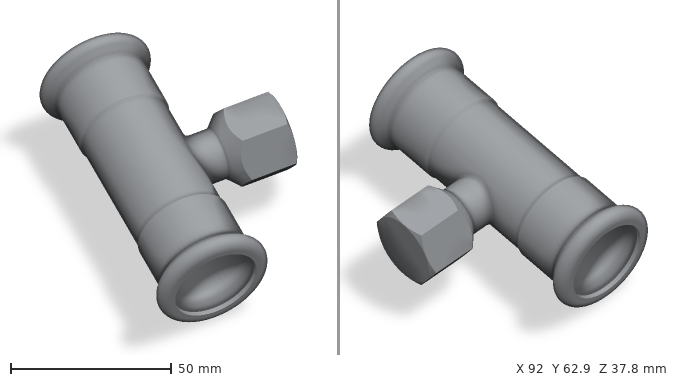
import cadquery as cq
import math

length = 92.0
end_x = -length / 2
socket_radius = 31.0 / 2
middle_radius = 29.8 / 2
bore_radius = 12.3
wall = 1.52
mouth_radius = socket_radius - wall

bead_outer_radius = 18.9
bead_round = 3.0
bead_x = end_x + bead_round
bead_centre_radius = bead_outer_radius - bead_round

neck_fillet = 1.8
neck_centre_radius = socket_radius + neck_fillet
neck_x = bead_x + bead_centre_radius - neck_centre_radius + math.sqrt(2) * (bead_round + neck_fillet)

step_start_x = end_x + 24.4
step_angle = 30.0
step_length = (socket_radius - middle_radius) / math.tan(math.radians(step_angle))
step_end_x = step_start_x + step_length
step_convex_fillet = 0.7
step_concave_fillet = 1.3

branch_radius = 16.8 / 2
branch_fillet = 1.4
nut_end_y = 44.0
nut_start_y = 22.0
nut_across_flats = 24.1
nut_corner_radius = nut_across_flats / math.sqrt(3)
nut_face_radius = 11.9
nut_chamfer_angle = 30.0


def arc_point(x, radius, arc_radius, degrees):
    """Point (x, radius) on an arc; the angle runs from +X towards larger radius."""
    angle = math.radians(degrees)
    return (x + arc_radius * math.cos(angle), radius + arc_radius * math.sin(angle))


def bead_point(arc_radius, degrees):
    return arc_point(bead_x, bead_centre_radius, arc_radius, degrees)


def neck_point(arc_radius, degrees):
    return arc_point(neck_x, neck_centre_radius, arc_radius, degrees)


def revolve_about_x(profile):
    return profile.close().revolve(360, (0, 0, 0), (1, 0, 0))


def half_pipe_body():
    """Solid outer shape of the -X half, with its step rounded at both corners."""
    profile = (
        cq.Workplane("XY")
        .moveTo(end_x, 0)
        .lineTo(end_x, bead_centre_radius)
        .threePointArc(bead_point(bead_round, 110), bead_point(bead_round, 45))
        .lineTo(*neck_point(neck_fillet, 225))
        .threePointArc(neck_point(neck_fillet, 250), neck_point(neck_fillet, 270))
        .lineTo(step_start_x, socket_radius)
        .lineTo(step_end_x, middle_radius)
        .lineTo(0, middle_radius)
        .lineTo(0, 0)
    )
    body = revolve_about_x(profile)
    body = body.edges(circle_at(step_start_x)).fillet(step_convex_fillet)
    return body.edges(circle_at(step_end_x)).fillet(step_concave_fillet)


def circle_at(x):
    """Selector for the pipe's circular edges centred at one place on the axis."""
    reach = 0.1
    return cq.selectors.BoxSelector((x - reach, -reach, -reach), (x + reach, reach, reach))


def half_pipe_cavity():
    """Inside of the -X half: the bead and socket keep an even wall, then the bore narrows."""
    inner_bead = bead_round - wall
    inner_neck = neck_fillet + wall
    profile = (
        cq.Workplane("XY")
        .moveTo(end_x, 0)
        .lineTo(end_x, mouth_radius)
        .lineTo(end_x + wall, mouth_radius)
        .lineTo(end_x + wall, bead_centre_radius)
        .threePointArc(bead_point(inner_bead, 110), bead_point(inner_bead, 45))
        .lineTo(*neck_point(inner_neck, 225))
        .threePointArc(neck_point(inner_neck, 250), neck_point(inner_neck, 270))
        .lineTo(step_start_x, mouth_radius)
        .lineTo(step_start_x, bore_radius)
        .lineTo(0, bore_radius)
        .lineTo(0, 0)
    )
    return revolve_about_x(profile)


def both_halves(half):
    return half.union(half.mirror("YZ"))


def hex_nut():
    """Hexagon with corners along X, trimmed by a 45 degree cone below and a chamfer on top."""
    hexagon = (
        cq.Workplane("XZ", origin=(0, nut_end_y, 0))
        .polygon(6, 2 * nut_corner_radius)
        .extrude(nut_end_y - nut_start_y)
    )
    cone_height = nut_corner_radius - branch_radius
    chamfer_height = (nut_corner_radius - nut_face_radius) * math.tan(math.radians(nut_chamfer_angle))
    envelope = (
        cq.Workplane("XY")
        .moveTo(0, nut_start_y)
        .lineTo(branch_radius, nut_start_y)
        .lineTo(nut_corner_radius, nut_start_y + cone_height)
        .lineTo(nut_corner_radius, nut_end_y - chamfer_height)
        .lineTo(nut_face_radius, nut_end_y)
        .lineTo(0, nut_end_y)
        .close()
        .revolve(360, (0, 0, 0), (0, 1, 0))
    )
    return hexagon.intersect(envelope)


def add_branch(pipe):
    """Join the round branch to the pipe with a fillet around its foot."""
    branch = cq.Workplane("XZ").circle(branch_radius).extrude(-nut_start_y)
    joined = pipe.union(branch)
    foot_region = cq.selectors.BoxSelector(
        (-branch_radius, bore_radius - branch_radius, -branch_radius),
        (branch_radius, middle_radius + branch_fillet, branch_radius),
    )
    return joined.edges(foot_region).edges("not %CIRCLE").edges("not %LINE").fillet(branch_fillet)


body = add_branch(both_halves(half_pipe_body())).union(hex_nut())
result = body.cut(both_halves(half_pipe_cavity()))